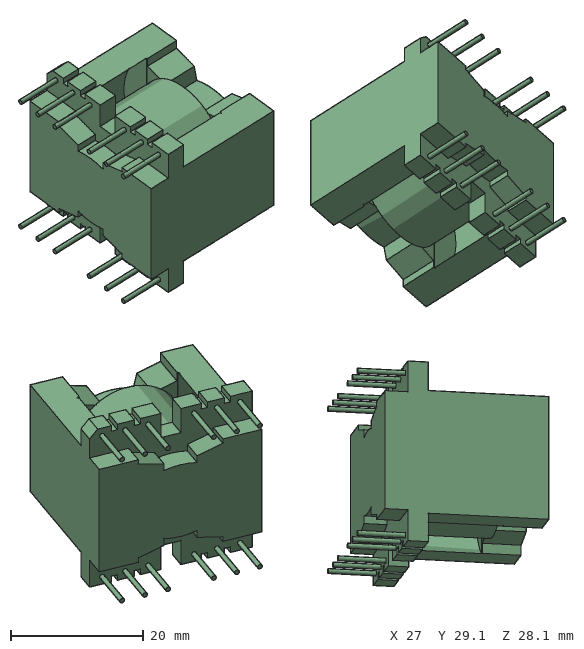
import cadquery as cq


core_width = 27.0
rear_half_height = 9.6
front_half_height = 9.22
rear_y = 21.75
rear_plate_y = 15.75
core_front_y = -3.52
leg_inner_x = 8.25
leg_bore_radius = 11.8
leg_bore_center_x = 1.45
leg_bore_floor_y = 15.63

winding_radius = 9.1

flange_height = 28.1
flange_thickness = 3.17
corner_chamfer_x = 1.35
corner_chamfer_z = 1.45
slot_width = 3.32
slot_floor_z = 9.72
notch_size = 1.0
first_notch_x = 5.55

pin_pitch = 3.8
pins_per_group = 3
pin_diameter = 0.8
pin_row_z = 12.7
overall_length = 29.1
pin_tip_y = rear_y - overall_length

REAR_RECESS = dict(
    shoulder_x=8.12, slope_top_z=8.03, slope_foot_x=4.2, slope_foot_z=6.95,
    arc_half_width=3.6, arc_end_z=4.48, arc_crown_z=5.1,
)
FRONT_RECESS = dict(
    shoulder_x=7.0, slope_top_z=8.45, slope_foot_x=2.74, slope_foot_z=7.33,
    arc_half_width=2.74, arc_end_z=6.15, arc_crown_z=6.45,
)


def box(x_min, x_max, y_min, y_max, z_min, z_max):
    """Axis-aligned block between the given limits."""
    size = (x_max - x_min, y_max - y_min, z_max - z_min)
    return cq.Workplane("XY").box(*size, centered=False).translate((x_min, y_min, z_min))


def along_y(y_start, y_end, sketch):
    """Extrude an outline drawn in X and Z from y_start toward -Y as far as y_end."""
    plane = cq.Workplane("XZ", origin=(0, y_start, 0))
    return sketch(plane).extrude(y_start - y_end)


def core_plate(y_start, y_end, half_height, recess):
    """Core plate whose top and bottom edges step and slope in to a shallow central arc."""
    half_width = core_width / 2
    right = [
        (half_width, half_height),
        (recess["shoulder_x"], half_height),
        (recess["shoulder_x"], recess["slope_top_z"]),
        (recess["slope_foot_x"], recess["slope_foot_z"]),
        (recess["arc_half_width"], recess["arc_end_z"]),
    ]
    left = [(-x, z) for x, z in reversed(right)]

    def outline(plane):
        top_crown = (0, recess["arc_crown_z"])
        bottom_crown = (0, -recess["arc_crown_z"])
        wire = plane.polyline(right).threePointArc(top_crown, left[0])
        for x, z in left[1:]:
            wire = wire.lineTo(x, z)
        for x, z in reversed(left):
            wire = wire.lineTo(x, -z)
        wire = wire.threePointArc(bottom_crown, (right[-1][0], -right[-1][1]))
        for x, z in reversed(right[:-1]):
            wire = wire.lineTo(x, -z)
        return wire.close()

    return along_y(y_start, y_end, outline)


def core_legs():
    """Two outer legs, each hollowed by a round bore that clears the winding."""
    half_width = core_width / 2
    leg = box(leg_inner_x, half_width, 0, rear_plate_y, -rear_half_height, rear_half_height)
    bore = along_y(
        leg_bore_floor_y, 0, lambda plane: plane.center(leg_bore_center_x, 0).circle(leg_bore_radius)
    )
    leg = leg.cut(bore)
    return leg.union(leg.mirror("YZ"))


def winding():
    return along_y(rear_plate_y, 0, lambda plane: plane.circle(winding_radius))


def pin_flange():
    """Flange with a central slot and wire notches in both edges and one cut corner."""
    half_width = core_width / 2
    half_height = flange_height / 2
    flange = box(-half_width, half_width, 0, flange_thickness, -half_height, half_height)

    corner = [
        (-half_width, half_height),
        (-half_width + corner_chamfer_x, half_height),
        (-half_width, half_height - corner_chamfer_z),
    ]
    flange = flange.cut(along_y(flange_thickness, 0, lambda plane: plane.polyline(corner).close()))

    cutouts = [(0, slot_width, half_height - slot_floor_z)]
    for i in range(pins_per_group - 1):
        notch_x = first_notch_x + i * pin_pitch
        cutouts += [(notch_x, notch_size, notch_size), (-notch_x, notch_size, notch_size)]
    for x, width, depth in cutouts:
        top_cut = box(
            x - width / 2, x + width / 2, 0, flange_thickness, half_height - depth, half_height
        )
        flange = flange.cut(top_cut).cut(top_cut.mirror("XY"))
    return flange


def pins():
    """Two rows of pins, each with a group on either side of the slot."""
    centers = [
        (side * (i + 1) * pin_pitch, row * pin_row_z)
        for row in (-1, 1)
        for side in (-1, 1)
        for i in range(pins_per_group)
    ]
    return along_y(0, pin_tip_y, lambda plane: plane.pushPoints(centers).circle(pin_diameter / 2))


result = (
    core_plate(rear_y, rear_plate_y, rear_half_height, REAR_RECESS)
    .union(core_legs())
    .union(winding())
    .union(pin_flange())
    .union(core_plate(0, core_front_y, front_half_height, FRONT_RECESS))
    .union(pins())
)